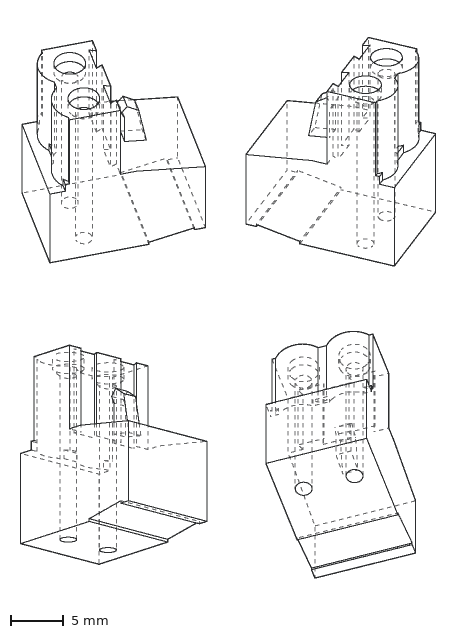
import cadquery as cq

WIDTH = 10.05
DEPTH = 15.34
HEIGHT = 18.15
LEDGE_Z = 8.97
SHOULDER_Z = 9.84
REAR_TOP_Z = 8.75
SLOPE_START_Y = 8.53

RELIEF_START_Y = 9.76
RELIEF_END_Y = 14.25
RELIEF_START_Z = 0.27
RELIEF_END_Z = 1.03
REAR_FOOT_Z = 0.8

PITCH = 5.08
CONTACT_XS = (-PITCH / 2, PITCH / 2)
CONTACT_Y = 4.03
TOWER_FRONT_Y = 1.92
TOWER_BACK_Y = 6.95
TOWER_STEP_Y = 1.52
LOBE_RADIUS = 2.75
LOBE_CENTRE_Y = 3.68
LOBE_FLAT_HALF = 0.24

GROOVE_DEPTH = 0.65
GROOVE_MOUTH = 2.0
GROOVE_FLOOR = 2.58

BORE_RADIUS = 1.5
BORE_DEPTH = 1.18
HOLE_RADIUS = 0.8
CONE_DEPTH = BORE_RADIUS - HOLE_RADIUS

LATCH_WIDTH = 1.5
LATCH_ROOT_Y = 10.67
LATCH_NOSE_Y = 8.2
LATCH_NOSE_Z = 13.63
LATCH_NECK_Z = 12.9
LATCH_TIP_Y = 8.78
LATCH_TIP_Z = 14.32
LATCH_HEEL_Y = 9.93
LATCH_HEEL_Z = 13.54


def side_extrude(points, width):
    """Extrude a (Y, Z) outline along X, centred on X = 0."""
    return cq.Workplane("YZ").polyline(points).close().extrude(width / 2, both=True)


def block(width, y_front, y_back, z_low, z_high):
    """Box centred on X = 0, given its Y and Z limits."""
    size = (width, y_back - y_front, z_high - z_low)
    corner = (-width / 2, y_front, z_low)
    return cq.Workplane("XY").box(*size, centered=False).translate(corner)


def slope_z(y):
    """Height of the sloping rear top at depth y."""
    fraction = (y - SLOPE_START_Y) / (DEPTH - SLOPE_START_Y)
    return SHOULDER_Z + fraction * (REAR_TOP_Z - SHOULDER_Z)


def housing():
    return side_extrude([
        (0, 0),
        (RELIEF_START_Y, 0),
        (RELIEF_START_Y, RELIEF_START_Z),
        (RELIEF_END_Y, RELIEF_END_Z),
        (RELIEF_END_Y, REAR_FOOT_Z),
        (DEPTH, REAR_FOOT_Z),
        (DEPTH, REAR_TOP_Z),
        (SLOPE_START_Y, SHOULDER_Z),
        (TOWER_STEP_Y, SHOULDER_Z),
        (TOWER_STEP_Y, LEDGE_Z),
        (0, LEDGE_Z),
    ], WIDTH)


def lobe(x):
    """Round front of the tower around one contact, trimmed by a narrow flat."""
    flat_y = LOBE_CENTRE_Y - (LOBE_RADIUS**2 - LOBE_FLAT_HALF**2) ** 0.5
    cylinder = (
        cq.Workplane("XY", origin=(x, LOBE_CENTRE_Y, LEDGE_Z))
        .circle(LOBE_RADIUS)
        .extrude(HEIGHT - LEDGE_Z)
    )
    return cylinder.intersect(block(WIDTH, flat_y, LOBE_CENTRE_Y, LEDGE_Z, HEIGHT))


def dovetail_groove(x):
    floor_y = TOWER_BACK_Y - GROOVE_DEPTH
    return (
        cq.Workplane("XY", origin=(x, 0, SHOULDER_Z))
        .polyline([
            (-GROOVE_MOUTH / 2, TOWER_BACK_Y),
            (-GROOVE_FLOOR / 2, floor_y),
            (GROOVE_FLOOR / 2, floor_y),
            (GROOVE_MOUTH / 2, TOWER_BACK_Y),
        ])
        .close()
        .extrude(HEIGHT - SHOULDER_Z)
    )


def contact_opening(x):
    cone_top_z = HEIGHT - BORE_DEPTH
    profile = [
        (0, 0),
        (HOLE_RADIUS, 0),
        (HOLE_RADIUS, cone_top_z - CONE_DEPTH),
        (BORE_RADIUS, cone_top_z),
        (BORE_RADIUS, HEIGHT),
        (0, HEIGHT),
    ]
    opening = cq.Workplane("XZ").polyline(profile).close().revolve(360, (0, 0), (0, 1))
    return opening.translate((x, CONTACT_Y, 0))


def latch():
    return side_extrude([
        (SLOPE_START_Y, SHOULDER_Z),
        (SLOPE_START_Y, LATCH_NECK_Z),
        (LATCH_NOSE_Y, LATCH_NOSE_Z),
        (LATCH_TIP_Y, LATCH_TIP_Z),
        (LATCH_HEEL_Y, LATCH_HEEL_Z),
        (LATCH_ROOT_Y, slope_z(LATCH_ROOT_Y)),
    ], LATCH_WIDTH)


body = housing().union(block(WIDTH, TOWER_FRONT_Y, TOWER_BACK_Y, LEDGE_Z, HEIGHT))
for contact_x in CONTACT_XS:
    body = body.union(lobe(contact_x))
for contact_x in CONTACT_XS:
    body = body.cut(dovetail_groove(contact_x)).cut(contact_opening(contact_x))

result = body.union(latch())